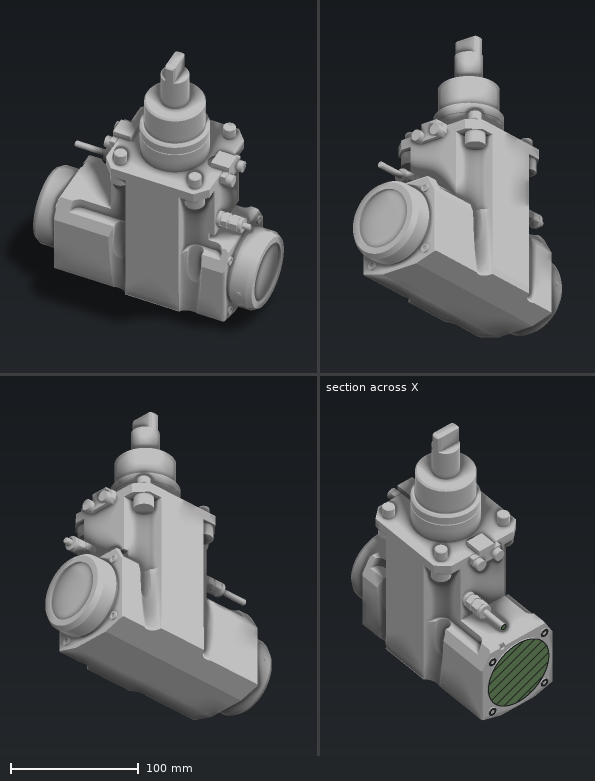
import cadquery as cq
import math


block_centre_x = -14.3
block_half_length = 73.5
block_half_width = 36.3
block_top = 73.5
block_top_half_width = 27.0
slope_base = 56.8
end_top_chamfer = 2.0
end_side_chamfer = 1.0
keel_half_width = 16.8

column_half_x = 44.8
column_width = 84.0
column_half_y = column_width / 2
keel_edge_z = 7.4
plate_bottom = 128.0
plate_top = 136.5
plate_corner_x = 9.2
plate_corner_y = 10.4
relief_height = 5.8
relief_depth = 0.5
undercut_x = 39.8
undercut_top = 80.3

bolt_x = 32.2
bolt_y = 31.7
bolt_radius = 5.0
bolt_top = 146.3
bolt_chamfer = 0.7
head_radius = 8.0
head_bottom = 118.0
channel_radius = 9.2
channel_floor = 65.0
runout_axis_y = 39.3
runout_angle = 5.1
scallop_radius = 6.0
scallop_axis_y = 29.5
scallop_angle = 17.7
left_pocket_end = 76.5
right_pocket_end = 54.0
pocket_corner_radius = 8.0

collar_radius = 27.5
collar_top = 164.0
collar_chamfer = 1.5
collar_joint_z = 155.0
joint_groove = 0.5
nose_radius = 24.2
nose_top = 188.5
nose_chamfer = 1.4
shaft_radius = 11.3
shaft_top = 215.5
tang_half_thickness = 4.1
tang_edge_half_thickness = 3.2
tang_flat_half_width = 8.3
tang_top = 230.0
tang_chamfer = 1.0

ring_axis_z = 36.3
ring_radius = 32.5
ring_start = 76.1
ring_back_chamfer = 1.0
ring_shoulder = 90.2
ring_end = 94.5
ring_end_radius = 29.7
neck_radius = 31.0
ring_recess_radius = 24.4
ring_recess_depth = 2.3
pin_offset = 84.6
pin_radius = 1.5
pin_projection = 0.58

end_screw_y = 26.5
end_screw_rise = 26.2
end_screw_radius = 3.5
end_screw_height = 1.5
end_socket_radius = 2.0
end_socket_depth = 1.2
end_notch_y = 15.2
end_notch_z = 70.8
end_notch_radius = 2.42

clamp_outer_x = 50.1
clamp_inner_x = 34.7
clamp_top = 141.5
clamp_bottom = 126.3
clamp_stem_half_width = 7.5
clamp_half_width = 14.0
clamp_gap = 0.7
clamp_corner = 3.0
clamp_screw_y = 9.2
clamp_screw_z = 130.6
clamp_screw_radius = 4.5
clamp_screw_length = 5.0
slot_end_x = 28.8
slot_depth = 2.3

gland_y = 15.2
gland_z = 93.2
gland_across_flats = 11.0
gland_flange_radius = 6.0
gland_core_radius = 5.0
gland_seat_end = 3.2
gland_inner_hex = (4.5, 9.7)
gland_outer_hex = (11.3, 18.2)
gland_flange_start = 19.0
gland_length = 21.6
cable_radius = 2.5
cable_chamfer = 0.7
left_cable_end = 93.2
right_cable_end = 72.5

overlap = 2.3
reach = 138.0
hex_half_angle = 30


def box(x0, x1, y0, y1, z0, z1):
    return cq.Workplane("XY").box(x1 - x0, y1 - y0, z1 - z0, centered=False).translate((x0, y0, z0))


def disc(radius, z0, z1, x=0.0, y=0.0):
    return cq.Workplane("XY", origin=(x, y, z0)).circle(radius).extrude(z1 - z0)


def rod_x(radius, x0, x1, y, z):
    return cq.Workplane("YZ", origin=(x0, y, z)).circle(radius).extrude(x1 - x0)


def hex_x(across_flats, x0, x1, y, z):
    """Hexagonal bar along X with one corner pointing straight up."""
    corner_diameter = across_flats / math.cos(math.radians(hex_half_angle))
    bar = cq.Workplane("YZ", origin=(x0, y, z)).polygon(6, corner_diameter).extrude(x1 - x0)
    return bar.rotate((x0, y, z), (x1, y, z), hex_half_angle)


def at_corners(shape):
    """Copy a shape built at +X +Y to all four corners of the column."""
    pair = shape.union(shape.mirror("YZ"))
    return pair.union(pair.mirror("XZ"))


def at_housing_ends(shape):
    """Shift a shape to the housing centre and add its mirror image at the other end."""
    return shape.union(shape.mirror("YZ")).translate((block_centre_x, 0, 0))


def keel_profile():
    """Housing underside: a flat keel with shallow slopes rising to the column faces."""
    points = [
        (-keel_half_width, 0), (keel_half_width, 0), (column_half_y, keel_edge_z),
        (column_half_y, plate_top), (-column_half_y, plate_top), (-column_half_y, keel_edge_z),
    ]
    return cq.Workplane("YZ").polyline(points).close().extrude(reach, both=True)


def housing_block():
    points = [
        (-block_half_width, 0), (block_half_width, 0), (block_half_width, slope_base),
        (block_top_half_width, block_top), (-block_top_half_width, block_top),
        (-block_half_width, slope_base),
    ]
    block = cq.Workplane("YZ").polyline(points).close().extrude(block_half_length, both=True)
    block = block.edges("|Z").chamfer(end_side_chamfer)
    block = block.faces(">Z").edges("|Y").chamfer(end_top_chamfer)
    return block.translate((block_centre_x, 0, 0))


def shoulder_pockets():
    """Flat ledges cut into the sloped shoulders, level with the channel floor."""
    wall_y = bolt_y - channel_radius
    ledges = box(-left_pocket_end, right_pocket_end, wall_y, reach, channel_floor, block_top + overlap)
    ledges = ledges.edges("|Z and <Y").fillet(pocket_corner_radius)
    return ledges.union(ledges.mirror("XZ"))


def column():
    """Square column with a shallow relief along its lower edges and an undercut on the +X side."""
    body = box(-column_half_x, column_half_x, -column_half_y, column_half_y, 0, plate_bottom)
    relief = (
        cq.Workplane("YZ")
        .moveTo(-column_half_y, keel_edge_z + relief_height)
        .lineTo(-column_half_y + relief_depth, keel_edge_z)
        .lineTo(-column_half_y, keel_edge_z)
        .close()
        .extrude(reach, both=True)
    )
    undercut = box(undercut_x, reach, -reach, reach, block_top, undercut_top)
    return body.cut(relief).cut(relief.mirror("XZ")).cut(undercut)


def column_corner():
    """Corner removed from the column: a round channel about the bolt, open to both sides."""
    inner_x = bolt_x - channel_radius
    inner_y = bolt_y - channel_radius
    channel = disc(channel_radius, channel_floor, plate_bottom, bolt_x, bolt_y)
    front_gap = box(inner_x, column_half_x, bolt_y, column_half_y, channel_floor, plate_bottom)
    end_gap = box(bolt_x, column_half_x, inner_y, column_half_y, 0, plate_bottom)
    return channel.union(front_gap).union(end_gap)


def leaning_bore(radius, axis_y, angle):
    """Open round cut that starts at the channel floor and leans outward as it goes down."""
    bore = cq.Workplane("XY").circle(radius).extrude(reach, both=True)
    bore = bore.union(box(-radius, radius, 0, reach, -reach, reach))
    bore = bore.rotate((0, 0, 0), (1, 0, 0), angle).translate((bolt_x, axis_y, channel_floor))
    return bore.intersect(box(-reach, reach, 0, reach, -overlap, channel_floor))


def lower_channel():
    """Below the channel floor: the leaning run-out of the channel and the scallop in its back."""
    runout = leaning_bore(channel_radius, runout_axis_y, runout_angle)
    scallop = leaning_bore(scallop_radius, scallop_axis_y, scallop_angle)
    return runout.union(scallop)


def flange_plate():
    plate = box(-column_half_x, column_half_x, -column_half_y, column_half_y, plate_bottom, plate_top)
    corner = (
        cq.Workplane("XY", origin=(0, 0, plate_bottom))
        .moveTo(column_half_x, column_half_y)
        .lineTo(column_half_x - plate_corner_x, column_half_y)
        .lineTo(column_half_x, column_half_y - plate_corner_y)
        .close()
        .extrude(plate_top - plate_bottom)
    )
    return plate.cut(at_corners(corner))


def flange_bolt():
    shank = disc(bolt_radius, plate_bottom, bolt_top, bolt_x, bolt_y).faces(">Z").chamfer(bolt_chamfer)
    return shank.union(disc(head_radius, head_bottom, plate_bottom, bolt_x, bolt_y))


def spindle():
    """Turned collar, nose and shaft, ending in a flat drive tang with bevelled edges."""
    inner_joint_radius = collar_radius - joint_groove
    profile = [
        (0, plate_bottom), (collar_radius, plate_bottom),
        (collar_radius, collar_joint_z - joint_groove), (inner_joint_radius, collar_joint_z),
        (collar_radius, collar_joint_z + joint_groove),
        (collar_radius, collar_top - collar_chamfer), (collar_radius - collar_chamfer, collar_top),
        (nose_radius, collar_top), (nose_radius, nose_top - nose_chamfer),
        (nose_radius - nose_chamfer, nose_top), (shaft_radius, nose_top),
        (shaft_radius, tang_top - tang_chamfer), (shaft_radius - tang_chamfer, tang_top), (0, tang_top),
    ]
    body = cq.Workplane("XZ").polyline(profile).close().revolve(360, (0, 0), (0, 1))
    side = (
        cq.Workplane("XY", origin=(0, 0, shaft_top))
        .moveTo(tang_edge_half_thickness, -shaft_radius)
        .lineTo(tang_half_thickness, -tang_flat_half_width)
        .lineTo(tang_half_thickness, tang_flat_half_width)
        .lineTo(tang_edge_half_thickness, shaft_radius)
        .lineTo(shaft_radius, shaft_radius)
        .lineTo(shaft_radius, -shaft_radius)
        .close()
        .extrude(tang_top - shaft_top)
    )
    return body.cut(side).cut(side.mirror("YZ"))


def output_ring():
    """Turned ring at the +X end, with a recessed face and a small radial pin."""
    start = block_half_length - overlap
    floor = ring_end - ring_recess_depth
    profile = [
        (start, 0), (start, neck_radius), (ring_start, neck_radius),
        (ring_start, ring_radius - ring_back_chamfer),
        (ring_start + ring_back_chamfer, ring_radius), (ring_shoulder, ring_radius),
        (ring_end, ring_end_radius), (ring_end, ring_recess_radius), (floor, ring_recess_radius), (floor, 0),
    ]
    ring = cq.Workplane("XY").polyline(profile).close().revolve(360, (0, 0), (1, 0))
    pin = cq.Workplane("XZ", origin=(pin_offset, 0, 0)).circle(pin_radius)
    pin = pin.extrude(ring_radius + pin_projection)
    return ring.union(pin).translate((0, 0, ring_axis_z))


def output_rings():
    """Two rings; the second is turned half a revolution about the vertical."""
    ring = output_ring()
    opposite = ring.rotate((0, 0, 0), (0, 0, 1), 180)
    return ring.union(opposite).translate((block_centre_x, 0, 0))


def end_screws():
    top = block_half_length + end_screw_height
    screws = cq.Workplane("XY")
    for y in (-end_screw_y, end_screw_y):
        for z in (ring_axis_z - end_screw_rise, ring_axis_z + end_screw_rise):
            head = rod_x(end_screw_radius, block_half_length - overlap, top, y, z)
            head = head.cut(rod_x(end_socket_radius, top - end_socket_depth, top, y, z))
            screws = screws.union(head)
    return at_housing_ends(screws)


def end_notch():
    """Small round-bottomed notch at the top of the left end face."""
    face_x = block_centre_x - block_half_length
    notch_x = face_x + end_top_chamfer
    notch = rod_x(end_notch_radius, face_x, notch_x, end_notch_y, end_notch_z)
    return notch.union(
        box(face_x, notch_x, end_notch_y - end_notch_radius, end_notch_y + end_notch_radius,
            end_notch_z, block_top)
    )


def clamp_slot():
    """Shallow round-ended slot in the plate that seats the clamp stem."""
    half_width = clamp_stem_half_width
    centre_x = slot_end_x + half_width
    floor = plate_top - slot_depth
    slot = disc(half_width, floor, plate_top, centre_x)
    return slot.union(box(centre_x, column_half_x, -half_width, half_width, floor, plate_top))


def clamp():
    """Clamp on the +X side: stem in the plate slot, foot hanging outside and two screws."""
    stem = box(clamp_inner_x, clamp_outer_x, -clamp_stem_half_width, clamp_stem_half_width,
               plate_top - slot_depth, clamp_top)
    foot = box(column_half_x + clamp_gap, clamp_outer_x, -clamp_half_width, clamp_half_width,
               clamp_bottom, plate_top)
    foot = foot.faces("<Z").edges("|X").chamfer(clamp_corner)
    body = stem.union(foot)
    for y in (-clamp_screw_y, clamp_screw_y):
        screw = rod_x(clamp_screw_radius, clamp_outer_x - overlap, clamp_outer_x + clamp_screw_length,
                      y, clamp_screw_z)
        body = body.union(screw)
    return body


def cable_gland(cable_end):
    """Gland pointing along +X: seat, two hexagons, end flange and cable."""
    face = column_half_x
    tip = face + gland_length
    gland = rod_x(gland_core_radius, face - overlap, tip, 0, gland_z)
    gland = gland.union(rod_x(gland_flange_radius, face, face + gland_seat_end, 0, gland_z))
    for start, end in (gland_inner_hex, gland_outer_hex):
        gland = gland.union(hex_x(gland_across_flats, face + start, face + end, 0, gland_z))
    gland = gland.union(rod_x(gland_flange_radius, face + gland_flange_start, tip, 0, gland_z))
    cable = rod_x(cable_radius, face, cable_end, 0, gland_z).faces(">X").chamfer(cable_chamfer)
    return gland.union(cable)


body = column().cut(at_corners(column_corner()))
body = body.union(housing_block().cut(shoulder_pockets()))
body = body.cut(at_corners(lower_channel()))
body = body.intersect(keel_profile()).cut(end_notch())

slots = clamp_slot()
body = body.union(flange_plate().cut(slots).cut(slots.mirror("YZ")))
body = body.union(at_corners(flange_bolt())).union(spindle())

clamps = clamp()
body = body.union(clamps).union(clamps.mirror("YZ"))
body = body.union(output_rings()).union(end_screws())
body = body.union(cable_gland(right_cable_end).translate((0, -gland_y, 0)))
body = body.union(cable_gland(left_cable_end).mirror("YZ").translate((0, gland_y, 0)))

result = body